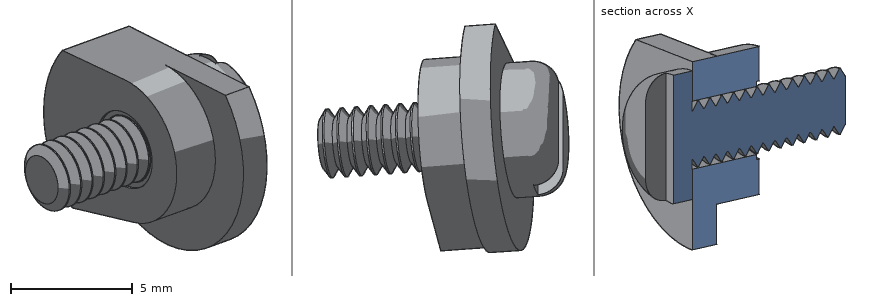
import cadquery as cq
import math


flange_radius = 4.96
flange_thickness = 1.28
boss_radius = 3.17
boss_depth_left = 3.64
face_slope = math.radians(2)
tail_slope = math.radians(10)
hole_diameter = 2.91
recess_diameter = 3.35
recess_depth = 0.12

overall_length = 9.97
head_diameter = 5.56
head_height = 2.03
head_rounding = 1.07
slot_width = 1.0
slot_depth = 1.05
thread_count = 13
thread_diameter = 2.85
root_diameter = 2.07
crest_width = 0.07
shank_length = overall_length - head_height
pitch = shank_length / thread_count

half_chord = math.sqrt(flange_radius**2 - boss_radius**2)


def make_flange():
    """Round plate with a flat top."""
    return (
        cq.Workplane("XZ")
        .moveTo(-half_chord, boss_radius)
        .threePointArc((0, -flange_radius), (half_chord, boss_radius))
        .close()
        .extrude(flange_thickness)
    )


def make_wedge(depth_left):
    """Block that covers the whole flange, with the sloping boss face as its -Y side."""
    depth_right = depth_left - 2 * flange_radius * math.tan(face_slope)
    return (
        cq.Workplane("XY")
        .polyline([
            (-flange_radius, 0),
            (-flange_radius, -depth_left),
            (flange_radius, -depth_right),
            (flange_radius, 0),
        ])
        .close()
        .extrude(flange_radius, both=True)
    )


def make_boss():
    """Hook-shaped boss following the flange edge on -X, with a sloping face."""
    tangent_x = boss_radius * math.sin(tail_slope)
    tangent_z = -boss_radius * math.cos(tail_slope)
    tail_x = tangent_x - half_chord * math.cos(tail_slope)
    tail_z = tangent_z - half_chord * math.sin(tail_slope)
    outline = (
        cq.Workplane("XZ")
        .moveTo(-half_chord, boss_radius)
        .lineTo(0, boss_radius)
        .threePointArc((boss_radius, 0), (tangent_x, tangent_z))
        .lineTo(tail_x, tail_z)
        .threePointArc((-flange_radius, 0), (-half_chord, boss_radius))
        .close()
        .extrude(boss_depth_left)
    )
    return outline.intersect(make_wedge(boss_depth_left))


def make_cylinder(diameter):
    """Cylinder on the screw axis, as long as the boss is deep."""
    return cq.Workplane("XZ").circle(diameter / 2).extrude(boss_depth_left)


def make_clamp_body():
    """Flange and boss in one piece, with a recessed clearance hole for the screw."""
    recess = make_cylinder(recess_diameter).cut(make_wedge(boss_depth_left - recess_depth))
    return make_flange().union(make_boss()).cut(make_cylinder(hole_diameter)).cut(recess)


def make_head():
    """Cylindrical head with a rounded rim and a straight driver slot along Z."""
    head = (
        cq.Workplane("XZ")
        .circle(head_diameter / 2)
        .extrude(-head_height)
        .faces(">Y")
        .edges()
        .fillet(head_rounding)
    )
    slot = (
        cq.Workplane("XY")
        .box(slot_width, slot_depth, head_diameter)
        .translate((0, head_height - slot_depth / 2, 0))
    )
    return head.cut(slot)


def make_shank():
    """Shank of equal ring-shaped thread ridges with sharp roots and flat crests."""
    flank_length = (pitch - crest_width) / 2
    root_radius = root_diameter / 2
    crest_radius = thread_diameter / 2
    profile = cq.Workplane("XY").lineTo(root_radius, 0)
    for ridge in range(thread_count):
        start = -ridge * pitch
        profile = (
            profile.lineTo(crest_radius, start - flank_length)
            .lineTo(crest_radius, start - flank_length - crest_width)
            .lineTo(root_radius, start - pitch)
        )
    return profile.lineTo(0, -shank_length).close().revolve(360, (0, 0, 0), (0, 1, 0))


def make_screw():
    """Head and threaded shank in one piece."""
    return make_head().union(make_shank())


clamp_body = make_clamp_body()
screw = make_screw()

result = cq.Compound.makeCompound([clamp_body.val(), screw.val()])